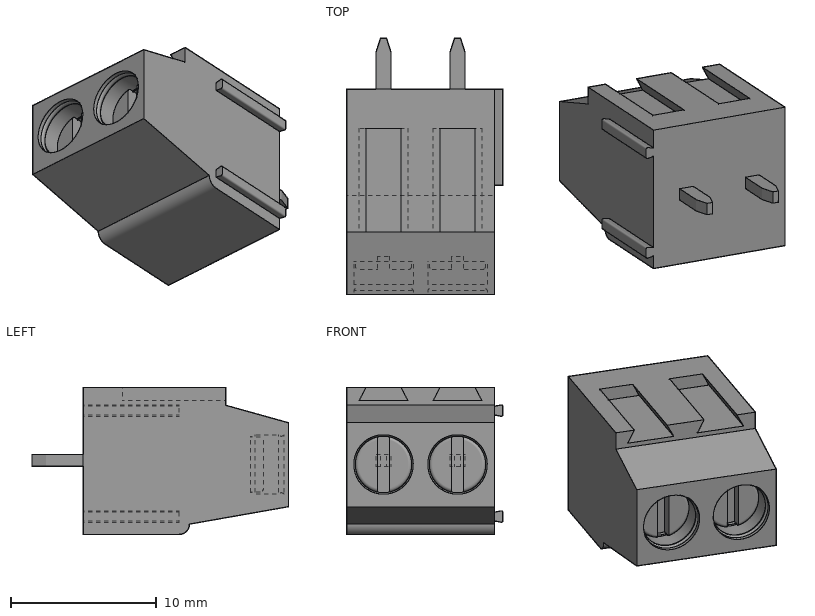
import cadquery as cq
import math

pole_count = 2
body_width = 10.15
pole_pitch = body_width / pole_count
body_height = 10.1
overall_length = 17.6
pin_length = 3.5
body_length = overall_length - pin_length

nose_bottom = 1.9
nose_top = 7.67
step_y = 4.3
step_drop = 1.23
foot_y = 6.8
foot_radius = 0.7

well_z = 4.8
well_radius = 2.05
bead_start = 0.3
bead_end = 0.7
bead_height = 0.1
well_depth = 2.29
screw_depth = 1.72
screw_radius = 1.94
screw_edge_radius = 0.23
driver_slot_width = 0.81
driver_slot_depth = 0.88

recess_top_width = 2.4
recess_floor_width = 3.35
recess_depth = 0.92
recess_back_y = 11.4

pin_width = 1.05
pin_thickness = 0.83
pin_z = 5.09
pin_tip_width = 0.42
pin_tip_length = 0.99

rail_depth = 0.58
rail_front_y = 7.5
rail_root_height = 0.62
rail_height = 0.85
rail_corner_radius = 0.12
rail_centres_z = (1.23, 8.5)

pole_positions = [(i + 0.5) * pole_pitch for i in range(pole_count)]


def make_housing():
    """Extrude the side outline across the full width."""
    corner = foot_radius * math.sqrt(0.5)
    arc_centre_y = foot_y + foot_radius
    return (
        cq.Workplane("YZ")
        .moveTo(0, nose_bottom)
        .lineTo(0, nose_top)
        .lineTo(step_y, body_height - step_drop)
        .lineTo(step_y, body_height)
        .lineTo(body_length, body_height)
        .lineTo(body_length, 0)
        .lineTo(arc_centre_y, 0)
        .threePointArc((arc_centre_y - corner, foot_radius - corner), (foot_y, foot_radius))
        .close()
        .extrude(body_width)
    )


def make_screw_well(x):
    """Void around one screw: round well with a bead, gap beside the rounded head, driver slot."""
    bead_middle = (bead_start + bead_end) / 2
    edge_inset = screw_edge_radius * (1 - math.sqrt(0.5))
    well = (
        cq.Workplane("YZ")
        .lineTo(0, -well_radius)
        .lineTo(bead_start, -well_radius)
        .threePointArc((bead_middle, bead_height - well_radius), (bead_end, -well_radius))
        .lineTo(well_depth, -well_radius)
        .lineTo(well_depth, -screw_radius)
        .lineTo(screw_depth + screw_edge_radius, -screw_radius)
        .threePointArc(
            (screw_depth + edge_inset, edge_inset - screw_radius),
            (screw_depth, screw_edge_radius - screw_radius),
        )
        .lineTo(screw_depth, 0)
        .close()
        .revolve(360, (0, 0, 0), (1, 0, 0))
    )
    slot = (
        cq.Workplane("XZ", origin=(0, screw_depth, 0))
        .rect(driver_slot_width, 2 * screw_radius)
        .extrude(-driver_slot_depth)
    )
    head = cq.Workplane("XZ", origin=(0, screw_depth, 0)).circle(screw_radius).extrude(-driver_slot_depth)
    return well.union(slot.intersect(head)).translate((x, 0, well_z))


def make_recess(x):
    """Dovetail recess, open at the step and wider at its floor."""
    floor_z = body_height - recess_depth
    return (
        cq.Workplane("XZ", origin=(x, step_y, 0))
        .moveTo(-recess_floor_width / 2, floor_z)
        .lineTo(recess_floor_width / 2, floor_z)
        .lineTo(recess_top_width / 2, body_height)
        .lineTo(-recess_top_width / 2, body_height)
        .close()
        .extrude(step_y - recess_back_y)
    )


def make_pin(x):
    """Flat pin with a tapered tip on the back face."""
    tip_start = pin_length - pin_tip_length
    return (
        cq.Workplane("XY", origin=(x, body_length, pin_z - pin_thickness / 2))
        .moveTo(-pin_width / 2, 0)
        .lineTo(pin_width / 2, 0)
        .lineTo(pin_width / 2, tip_start)
        .lineTo(pin_tip_width / 2, pin_length)
        .lineTo(-pin_tip_width / 2, pin_length)
        .lineTo(-pin_width / 2, tip_start)
        .close()
        .extrude(pin_thickness)
    )


def make_rail(z):
    """Interlock rail that widens outward from the +X side, with rounded outer corners."""
    return (
        cq.Workplane("XZ", origin=(body_width, body_length, z))
        .moveTo(0, -rail_root_height / 2)
        .lineTo(rail_depth, -rail_height / 2)
        .lineTo(rail_depth, rail_height / 2)
        .lineTo(0, rail_root_height / 2)
        .close()
        .extrude(body_length - rail_front_y)
        .edges("|Y and >X")
        .fillet(rail_corner_radius)
    )


result = make_housing()
for pole_x in pole_positions:
    result = result.cut(make_recess(pole_x))
    result = result.cut(make_screw_well(pole_x))
    result = result.union(make_pin(pole_x))
for rail_z in rail_centres_z:
    result = result.union(make_rail(rail_z))